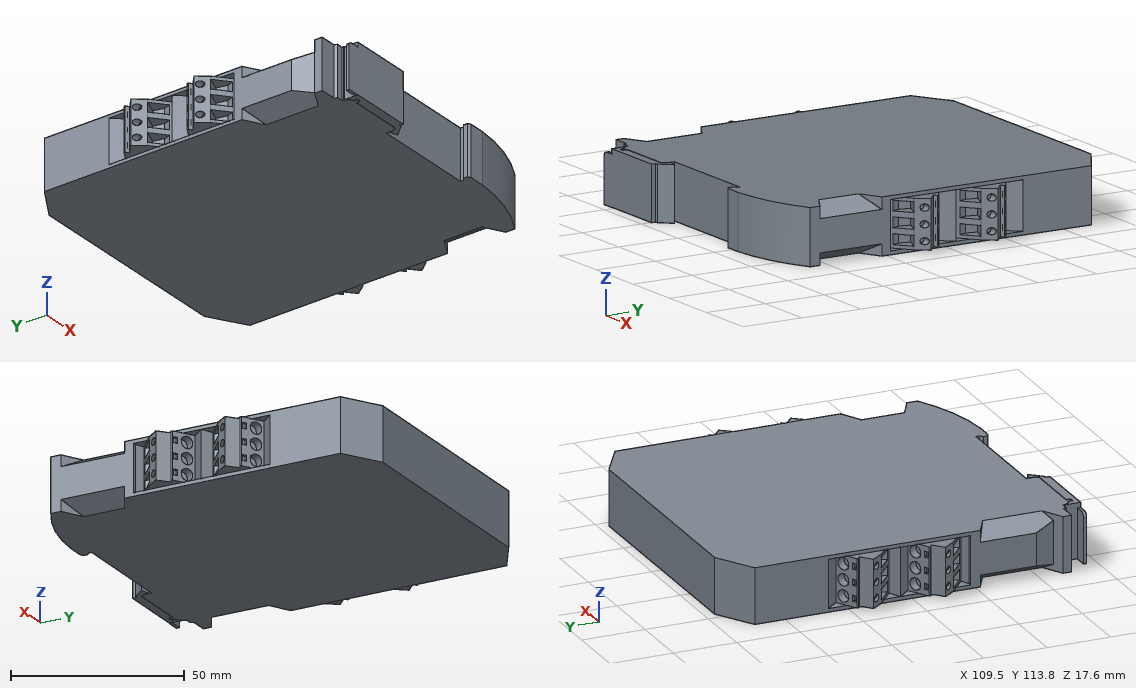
import cadquery as cq
import math

thickness = 17.6
half_width = 49.4
top_y = 56.9
bottom_y = -56.9
half_thick = thickness / 2

corner_run = 12.0
corner_drop = 7.3

grip_top_y = -21.5
grip_slope_run = 3.7
left_grip_depth = 6.6
left_grip_bottom_y = -47.6
grip_bend_y = -39.2
grip_notch_depth = 3.0
right_grip_depth = 6.7
right_grip_bottom_y = -42.4
grip_face_drop = 3.7

seat_y = -50.0
jaw_bottom_y = -53.8
seat_left_x = -18.0
seat_right_x = 17.5
jaw_tip_x = 16.5
jaw_tip_top_y = -51.9
jaw_throat_y = -51.0
jaw_chamfer_x = 17.4
jaw_chamfer_y = -53.2
heel_chamfer_x = -18.8
heel_chamfer_y = -52.0
belly_start_x = 23.0
belly_mid = (36.9, -51.3)
belly_end_y = -45.8

toe_y = -50.3
toe_outer_x = -43.8
toe_inner_x = -43.4
ledge_y = -51.3
slant_start_y = -51.9
slant_end_x = -39.7
tab_left_x = -39.1
tab_right_x = -37.7
tab_bottom_y = -55.2

foot_left_x = -41.1
foot_recess = 0.1
foot_right_x = -19.2
foot_heel = (-18.4, -55.4)
foot_heel_y = -55.6
latch_tip = (-15.1, -51.7)
latch_top_y = -51.0
flange_left_x = -45.3
flange_thick = 1.0
flange_drop = 1.7
flange_corner_radius = 1.5

pitch = 22.7
window_top_y = 26.4
window_bottom_y = -18.5
window_height = 15.3
core_x = -42.0
overall_width = 109.49
nose_x = -overall_width / 2
root = (-45.9, 22.5)
lip = (-52.4, 18.7)
lip_corner = (-52.5, 18.2)
step = (-51.3, 17.5)
nose = (nose_x, 14.5)
shoulder = (-51.8, 10.7)
heel = (-45.5, 5.5)
pole_spacing = 5.0
pole_levels = [-pole_spacing, 0, pole_spacing]

screw_diameter = 3.8
screw_depth = 3.0
screw_distance = 2.7
slit_distance = 6.5
slit_length = 1.3
slit_height = 1.8
slit_depth = 1.0
test_hole_diameter = 2.1
test_hole_y = 13.1
test_hole_floor_x = -51.5
wire_height = 3.2
wire_top = (-46.8, 12.6)
wire_valley = (-46.0, 8.9)
wire_end_distance = 6.5


def prism(points, height):
    """Polygon in XY, extruded evenly to both sides of Z = 0."""
    return cq.Workplane("XY").polyline(points).close().extrude(height / 2, both=True)


def make_housing():
    left_x = -half_width
    notch_rise = grip_slope_run * grip_notch_depth / left_grip_depth
    return (
        cq.Workplane("XY")
        .moveTo(left_x + corner_run, top_y)
        .lineTo(half_width - corner_run, top_y)
        .lineTo(half_width, top_y - corner_drop)
        .lineTo(half_width, belly_end_y)
        .threePointArc(belly_mid, (belly_start_x, jaw_bottom_y))
        .lineTo(jaw_chamfer_x, jaw_bottom_y)
        .lineTo(jaw_tip_x, jaw_chamfer_y)
        .lineTo(jaw_tip_x, jaw_tip_top_y)
        .lineTo(seat_right_x, jaw_throat_y)
        .lineTo(seat_right_x, seat_y)
        .lineTo(seat_left_x, seat_y)
        .lineTo(seat_left_x, heel_chamfer_y)
        .lineTo(heel_chamfer_x, jaw_bottom_y)
        .lineTo(tab_right_x, jaw_bottom_y)
        .lineTo(tab_right_x, tab_bottom_y)
        .lineTo(tab_left_x, tab_bottom_y)
        .lineTo(tab_left_x, jaw_bottom_y)
        .lineTo(slant_end_x, jaw_bottom_y)
        .lineTo(foot_left_x - foot_recess, slant_start_y)
        .lineTo(foot_left_x - foot_recess, ledge_y)
        .lineTo(toe_inner_x, ledge_y)
        .lineTo(toe_outer_x, toe_y)
        .lineTo(left_x, toe_y)
        .lineTo(left_x, left_grip_bottom_y)
        .lineTo(left_x + grip_notch_depth, left_grip_bottom_y + notch_rise)
        .lineTo(left_x, grip_bend_y)
        .lineTo(left_x, top_y - corner_drop)
        .close()
        .extrude(half_thick, both=True)
    )


def grip_cutter(side, depth, end_y):
    """Wedge that sinks the upper grip face, deepest at the side wall."""
    wall_x = side * half_width
    inner_x = wall_x - side * depth
    outer_x = wall_x + side * depth
    outline = prism(
        [
            (outer_x, grip_top_y + grip_slope_run),
            (inner_x, grip_top_y - grip_slope_run),
            (inner_x, end_y + grip_slope_run),
            (outer_x, end_y - grip_slope_run),
        ],
        2 * thickness,
    )
    wedge = (
        cq.Workplane("XZ", origin=(0, top_y, 0))
        .polyline(
            [
                (inner_x, half_thick),
                (outer_x, half_thick),
                (outer_x, half_thick - 2 * grip_face_drop),
            ]
        )
        .close()
        .extrude(top_y - end_y)
    )
    return outline.intersect(wedge)


def cut_grips(body):
    for side, depth, bottom in (
        (-1, left_grip_depth, left_grip_bottom_y),
        (1, right_grip_depth, right_grip_bottom_y),
    ):
        cutter = grip_cutter(side, depth, bottom)
        body = body.cut(cutter).cut(cutter.mirror("XY"))
    return body


def make_foot():
    block = prism(
        [
            (foot_left_x, ledge_y),
            (foot_left_x, bottom_y),
            (foot_right_x, bottom_y),
            (foot_right_x, foot_heel_y),
            foot_heel,
            latch_tip,
            (seat_left_x, latch_top_y),
        ],
        thickness - 2 * foot_recess,
    )
    flange_top = half_thick - flange_drop
    flange = (
        cq.Workplane("XY")
        .box(
            foot_left_x - flange_left_x,
            flange_thick,
            half_thick + flange_top,
            centered=False,
        )
        .edges("<X and >Z")
        .fillet(flange_corner_radius)
        .translate((flange_left_x, bottom_y, -half_thick))
    )
    return block.union(flange)


def point_along(start, end, distance):
    length = math.dist(start, end)
    return (
        start[0] + (end[0] - start[0]) * distance / length,
        start[1] + (end[1] - start[1]) * distance / length,
    )


def face_plane(start, end, distance, level):
    """Plane on a block face running start to end, normal pointing outward."""
    x, y = point_along(start, end, distance)
    along = (end[0] - start[0], end[1] - start[1], 0)
    outward = (along[1], -along[0], 0)
    return cq.Plane(origin=(x, y, level), xDir=along, normal=outward)


def make_terminal_block():
    block = prism(
        [
            (core_x, window_top_y),
            (-half_width, window_top_y),
            root,
            lip,
            lip_corner,
            step,
            nose,
            shoulder,
            heel,
            (-half_width, window_top_y - pitch),
            (core_x, window_top_y - pitch),
        ],
        window_height,
    )
    wire_pocket = prism(
        [shoulder, wire_top, wire_valley, point_along(shoulder, heel, wire_end_distance)],
        wire_height,
    )
    for level in pole_levels:
        screw_plane = face_plane(root, lip, screw_distance, level)
        slit_plane = face_plane(root, lip, slit_distance, level)
        screw = cq.Workplane(screw_plane).circle(screw_diameter / 2).extrude(-screw_depth)
        slit = cq.Workplane(slit_plane).rect(slit_length, slit_height).extrude(-slit_depth)
        test = (
            cq.Workplane("YZ", origin=(nose[0], test_hole_y, level))
            .circle(test_hole_diameter / 2)
            .extrude(test_hole_floor_x - nose[0])
        )
        block = block.cut(screw).cut(slit).cut(test)
        block = block.cut(wire_pocket.translate((0, 0, level)))
    return block


def window_box():
    """Room of the left terminal blocks, from the nose to the window's back wall."""
    return (
        cq.Workplane("XY")
        .box(core_x - nose_x, window_top_y - window_bottom_y, window_height, centered=False)
        .translate((nose_x, window_bottom_y, -window_height / 2))
    )


def add_terminals(body):
    window = window_box()
    block = make_terminal_block()
    blocks = block.union(block.translate((0, -pitch, 0))).intersect(window)
    body = body.cut(window).cut(window.mirror("YZ"))
    return body.union(blocks).union(blocks.mirror("YZ"))


housing = cut_grips(make_housing())
result = add_terminals(housing).union(make_foot())